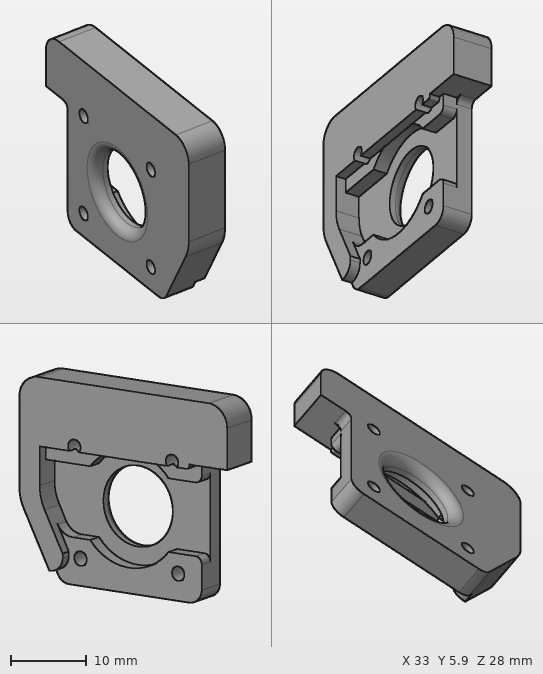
import cadquery as cq
import math

half_width = 16.5
top_z = 16.5
bottom_z = -11.5
thickness = 5.9

front_plate = 2.35
back_layer = 1.5
ledge_y = thickness - back_layer

notch_x = -11.5
notch_z = 7.75
slant_top_z = -0.33
slant_bottom_x = 10.8
top_radius = 3.0
notch_radius = 1.0
bottom_radius = 2.0
slant_radius = 6.0

bore_diameter = 11.02
bore_round = 1.5
screw_diameter = 1.98
screw_offset = 7.75

side_wall = 3.25
inner_slant_top_z = 0.1
ceiling_step_x = notch_x + 1.0
ceiling_step = 0.65
ceiling_step_radius = 0.43
channel_half_height = 5.0
channel_mouth_radius = 1.0
channel_floor_radius = 2.77
wall_tip_z = -9.65
wall_tip_radius = 2.0
wall_tip_flat = 0.6
inner_slant_radius = 7.0
relief_diameter = 15.97

slant_angle = math.atan2(half_width - slant_bottom_x, slant_top_z - bottom_z)
inner_x = half_width - side_wall


def inner_slant_x(z):
    """X of the sloping inner wall face at height z."""
    return inner_x - (inner_slant_top_z - z) * math.tan(slant_angle)


def prism(points, y_start, y_end):
    """Extrude an XZ outline from y_start to y_end."""
    plane = cq.Workplane("XZ", origin=(0, y_start, 0))
    return plane.polyline(points).close().extrude(y_start - y_end)


def round_edge(body, x, z, radius):
    """Round the edge along Y that passes through (x, z)."""
    reach = 0.03
    box = cq.selectors.BoxSelector(
        (x - reach, -thickness, z - reach), (x + reach, 2 * thickness, z + reach)
    )
    return body.edges("|Y").edges(box).fillet(radius)


def make_blank():
    corners = [
        (-half_width, top_z, top_radius),
        (half_width, top_z, top_radius),
        (half_width, slant_top_z, slant_radius),
        (slant_bottom_x, bottom_z, bottom_radius),
        (notch_x, bottom_z, bottom_radius),
        (notch_x, notch_z, 0),
        (-half_width, notch_z, 0),
    ]
    blank = prism([(x, z) for x, z, _ in corners], 0, thickness)
    for x, z, radius in corners:
        if radius:
            blank = round_edge(blank, x, z, radius)
    return blank


def make_notch_fillet():
    """Concave corner of the notch, on the front plate only."""
    x = notch_x - notch_radius
    z = notch_z - notch_radius
    square = prism([(x, z), (notch_x, z), (notch_x, notch_z), (x, notch_z)], 0, front_plate)
    cutter = cq.Workplane("XZ").center(x, z).circle(notch_radius).extrude(-front_plate)
    return square.cut(cutter)


def make_back_recess():
    """Wide recess in the back layer, open to the left and to the bottom."""
    ceiling_z = notch_z - ceiling_step
    tip_flat_top_z = wall_tip_z + wall_tip_radius + wall_tip_flat
    tip_x = inner_slant_x(tip_flat_top_z)
    recess = prism(
        [
            (-half_width, notch_z),
            (ceiling_step_x, notch_z),
            (ceiling_step_x, ceiling_z),
            (inner_x, ceiling_z),
            (inner_x, inner_slant_top_z),
            (tip_x, tip_flat_top_z),
            (tip_x, wall_tip_z),
            (half_width, wall_tip_z),
            (half_width, 2 * bottom_z),
            (-half_width, 2 * bottom_z),
        ],
        ledge_y,
        thickness,
    )
    recess = round_edge(recess, ceiling_step_x, ceiling_z, ceiling_step_radius)
    recess = round_edge(recess, inner_x, inner_slant_top_z, inner_slant_radius)
    return round_edge(recess, tip_x, wall_tip_z, wall_tip_radius)


def make_channel():
    """Deeper channel from the left edge to the right wall, with a flared mouth."""
    h = channel_half_height
    floor_x = inner_slant_x(-h)
    channel = prism(
        [
            (notch_x, h),
            (inner_x, h),
            (inner_x, inner_slant_top_z),
            (floor_x, -h),
            (notch_x, -h),
            (notch_x, -top_z),
            (-half_width, -top_z),
            (-half_width, top_z),
            (notch_x, top_z),
        ],
        front_plate,
        ledge_y,
    )
    channel = round_edge(channel, inner_x, inner_slant_top_z, inner_slant_radius)
    channel = round_edge(channel, floor_x, -h, channel_floor_radius)
    for z in (-h, h):
        channel = round_edge(channel, notch_x, z, channel_mouth_radius)
    limit = prism(
        [(-half_width, notch_z), (half_width, notch_z), (half_width, -top_z), (-half_width, -top_z)],
        front_plate,
        ledge_y,
    )
    return channel.intersect(limit)


def make_relief():
    """Round relief behind the front plate, around the bore."""
    plane = cq.Workplane("XZ", origin=(0, front_plate, 0))
    return plane.circle(relief_diameter / 2).extrude(-(ledge_y - front_plate))


def make_bore():
    """Central hole with a rounded front rim."""
    r = bore_diameter / 2
    mid = bore_round * (1 - math.sqrt(0.5))
    profile = (
        cq.Workplane("XY")
        .lineTo(r + bore_round, 0)
        .threePointArc((r + mid, mid), (r, bore_round))
        .lineTo(r, thickness)
        .lineTo(0, thickness)
        .close()
    )
    return profile.revolve(360, (0, 0, 0), (0, 1, 0))


def make_screw_holes():
    spacing = 2 * screw_offset
    plane = cq.Workplane("XZ").rarray(spacing, spacing, 2, 2)
    return plane.circle(screw_diameter / 2).extrude(-thickness)


result = (
    make_blank()
    .union(make_notch_fillet())
    .cut(make_back_recess())
    .cut(make_channel())
    .cut(make_relief())
    .cut(make_bore())
    .cut(make_screw_holes())
)